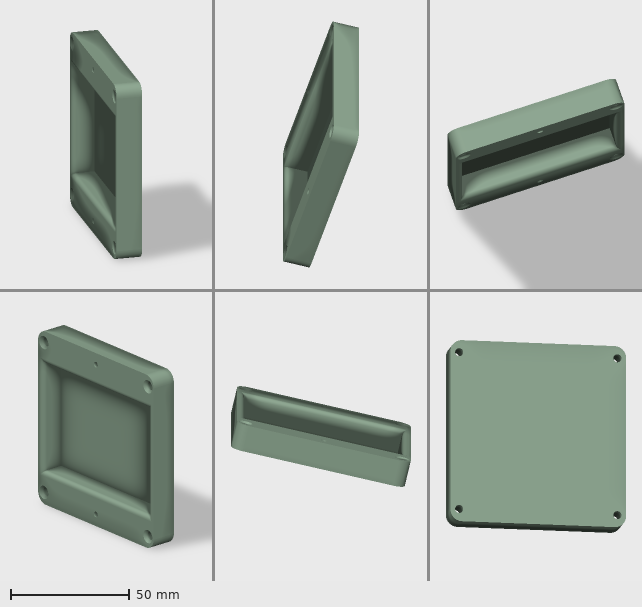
import cadquery as cq

width = 75.4
thickness = 11.2
height = 78.5
corner_radius = 4.95

pocket_width = 68.8
pocket_height = 49.1
pocket_depth = 10.0
rim_radius = 2.0

screw_spacing = 68.0
screw_diameter = 3.45
countersink_diameter = 5.9
countersink_angle = 90

pin_diameter = 2.5
pin_depth = 5.0


def make_block():
    """Block with rounded corners; the open face lies in the plane y = 0."""
    block = cq.Workplane("XZ").box(width, height, thickness, centered=(True, True, False))
    return block.edges("|Y").fillet(corner_radius).translate((0, thickness, 0))


def cut_pocket(body):
    """Sink the pocket and round the edges around its mouth."""
    pocket = (
        cq.Workplane("XZ")
        .rect(pocket_width, pocket_height)
        .extrude(-pocket_depth)
    )
    half_width = pocket_width / 2 + rim_radius
    half_height = pocket_height / 2 + rim_radius
    mouth_region = cq.selectors.BoxSelector(
        (-half_width, -rim_radius, -half_height),
        (half_width, rim_radius, half_height),
    )
    return body.cut(pocket).faces("<Y").edges(mouth_region).fillet(rim_radius)


def cut_screw_holes(body):
    """Drill through the four corners and countersink at the open face."""
    return (
        body.faces("<Y")
        .workplane(origin=(0, 0, 0))
        .rect(screw_spacing, screw_spacing, forConstruction=True)
        .vertices()
        .cskHole(screw_diameter, countersink_diameter, countersink_angle)
    )


def cut_pin_holes(body):
    """Drill the blind holes above and below the pocket."""
    return (
        body.faces("<Y")
        .workplane(origin=(0, 0, 0))
        .pushPoints([(0, side * screw_spacing / 2) for side in (-1, 1)])
        .hole(pin_diameter, pin_depth)
    )


body = cut_pocket(make_block())
body = cut_screw_holes(body)
result = cut_pin_holes(body)